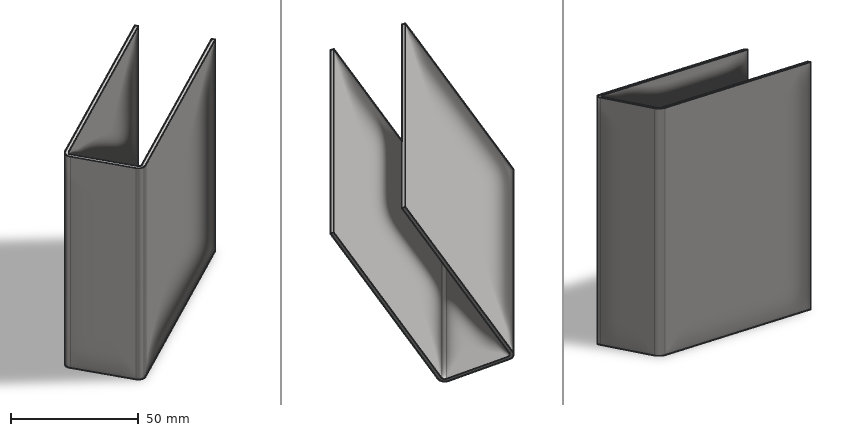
import cadquery as cq

height = 100.0
width = 33.0
depth = 95.0
thickness = 1.5
inner_bend_radius = 1.5
outer_bend_radius = inner_bend_radius + thickness


def rounded_block(block_width, front_y, bend_radius):
    """Upright block reaching the open back, with its two front edges rounded."""
    return (
        cq.Workplane("XY")
        .box(block_width, depth - front_y, height, centered=(True, False, False))
        .translate((0, front_y, 0))
        .edges("|Z and <Y")
        .fillet(bend_radius)
    )


outer = rounded_block(width, 0, outer_bend_radius)
cavity = rounded_block(width - 2 * thickness, thickness, inner_bend_radius)

result = outer.cut(cavity)